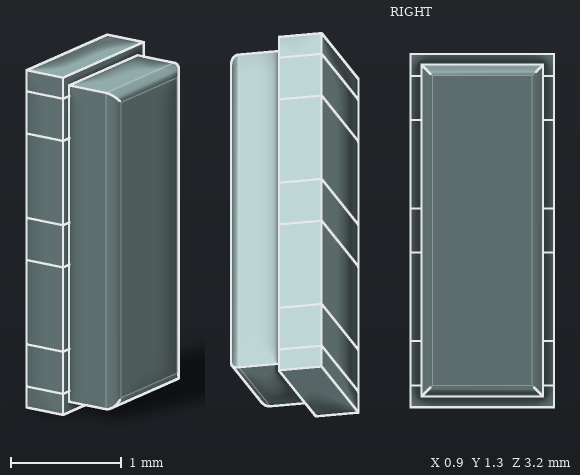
import cadquery as cq

length = 3.2
base_width = 1.3
total_depth = 0.9

base_depth = 0.4
contact_height = 0.4
contact_pitch = 1.2
contact_count = 3

cover_margin = 0.1
cover_fillet = 0.1
cover_depth = total_depth - base_depth
cover_width = base_width - 2 * cover_margin
cover_length = length - 2 * cover_margin


def block(x_start, depth, width, height, z_center=0.0):
    """Box starting at x_start, centred on Y = 0 and on z_center."""
    return (
        cq.Workplane("XY")
        .box(depth, width, height, centered=(False, True, True))
        .translate((x_start, 0, z_center))
    )


def make_contact(z_center):
    """Contact bar through the full width and depth of the base."""
    return block(0, base_depth, base_width, contact_height, z_center)


def make_cover():
    """Raised block with a rounded rim around its outer face."""
    cover = block(base_depth, cover_depth, cover_width, cover_length)
    return cover.faces(">X").edges().fillet(cover_fillet)


def make_housing(contacts):
    """Base and cover in one piece, with a slot for each contact."""
    housing = block(0, base_depth, base_width, length).union(make_cover())
    for contact in contacts:
        housing = housing.cut(contact)
    return housing.solids()


contacts = []
for index in range(contact_count):
    z_center = (index - (contact_count - 1) / 2) * contact_pitch
    contacts.append(make_contact(z_center))

housing = make_housing(contacts)

result = cq.Compound.makeCompound([housing.val(), *[contact.val() for contact in contacts]])